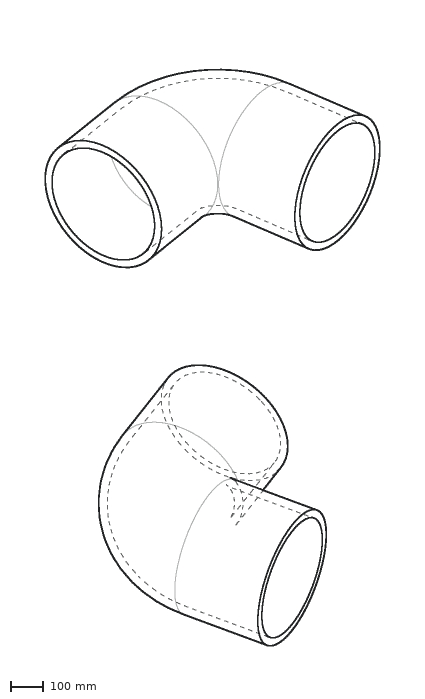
import cadquery as cq
import math

outer_diameter = 450.0
inner_diameter = 396.6
overall_length = 747.0
bend_radius = 227.0

leg_length = overall_length - outer_diameter / 2
bend_middle = bend_radius * (1 - math.sqrt(0.5))


def make_centreline():
    """Straight, quarter arc, straight; the two pipe axes cross at the origin.

    One leg opens toward -Y and the other toward +X.
    """
    return (
        cq.Workplane("XY")
        .moveTo(0, -leg_length)
        .lineTo(0, -bend_radius)
        .threePointArc((bend_middle, -bend_middle), (bend_radius, 0))
        .lineTo(leg_length, 0)
    )


def make_elbow():
    """Annular pipe section swept along the centreline."""
    pipe_end = cq.Workplane("XZ", origin=(0, -leg_length, 0))
    section = pipe_end.circle(outer_diameter / 2).circle(inner_diameter / 2)
    return section.sweep(make_centreline())


result = make_elbow()